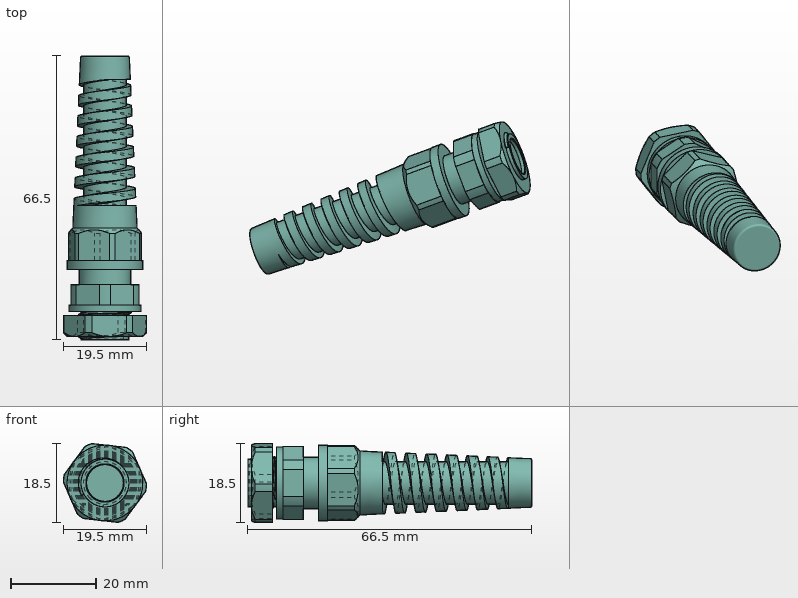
import cadquery as cq
import math


TOTAL_LENGTH = 66.5
NUT_START = 0.8
NUT_END = 5.75
BODY_FLANGE_START = 6.65
BODY_HEX_START = 8.15
BODY_HEX_END = 12.95
DOME_FLANGE_START = 16.5
DOME_HEX_START = 18.6
SLEEVE_START = 26.2
GROOVE_START = 31.5
GROOVE_END = 61.0

THREAD_ROOT_D = 11.2
THREAD_CREST_D = 12.5
THREAD_PITCH = 1.27
THREAD_CREST_WIDTH = 0.15
THREAD_START_ANGLE = 152.0
THREAD_START_HEIGHT = 0.7
BORE_D = 8.6
BORE_DEPTH = 1.0
BORE_CHAMFER = 0.2

NUT_FLATS = 17.7
NUT_CORNER_D = 19.5
NUT_CORNER_ANGLE = 6.45
BODY_FLATS = 16.0
BODY_CORNER_D = 17.2
BODY_CORNER_ANGLE = 30.0
DOME_FLATS = 15.9
DOME_CORNER_D = 17.65
DOME_CORNER_ANGLE = 41.5

BODY_FLANGE_D = 16.9
NECK_D = 12.1
DOME_FLANGE_D = 17.8

SLEEVE_BASE_D = 15.1
SLEEVE_END_D = 11.45
SLEEVE_END_FILLET = 0.5
SLEEVE_CORE_D = 10.0
GROOVE_PITCH = 4.8
GROOVE_ROOT_WIDTH = 2.25
GROOVE_FLANK_ANGLE = 7.0
GROOVE_CENTRE_AT_PLUS_X = 60.9

EMBED = 0.1
CLEARANCE = 1.0


def cylinder(diameter, start, end):
    """Round section of the axis between two stations."""
    return cq.Workplane("XY").workplane(offset=start).circle(diameter / 2).extrude(end - start)


def hexagon(flats, corner_d, corner_angle, start, end):
    """Hexagonal prism whose corners are rounded by a coaxial cylinder."""
    prism = (
        cq.Workplane("XY")
        .workplane(offset=start)
        .polygon(6, flats / math.cos(math.pi / 6))
        .extrude(end - start)
        .rotate((0, 0, 0), (0, 0, 1), corner_angle)
    )
    return prism.intersect(cylinder(corner_d, start, end))


def helical_sweep(profile_points, pitch, radius, start, height, start_angle):
    """Right-handed sweep of a (radius, axial offset) profile around the axis."""
    path = cq.Workplane(obj=cq.Wire.makeHelix(pitch, height, radius))
    sweep = cq.Workplane("XZ").polyline(profile_points).close().sweep(path, isFrenet=True)
    return sweep.rotate((0, 0, 0), (0, 0, 1), start_angle).translate((0, 0, start))


def lock_nut():
    """Hexagonal nut with a 45 degree chamfer around its outer face."""
    nut = hexagon(NUT_FLATS, NUT_CORNER_D, NUT_CORNER_ANGLE, NUT_START, NUT_END)
    chamfer = (NUT_CORNER_D - NUT_FLATS) / 2
    envelope = cylinder(NUT_CORNER_D, NUT_START, NUT_END).faces("<Z").chamfer(chamfer)
    return nut.intersect(envelope)


def thread():
    """V thread from the tip up to the body flange."""
    half_root = THREAD_PITCH / 2 - EMBED
    half_crest = THREAD_CREST_WIDTH / 2
    root = THREAD_ROOT_D / 2 - EMBED
    crest = THREAD_CREST_D / 2
    profile = [(root, -half_root), (crest, -half_crest), (crest, half_crest), (root, half_root)]
    height = BODY_FLANGE_START - THREAD_START_HEIGHT
    return helical_sweep(
        profile, THREAD_PITCH, THREAD_ROOT_D / 2, THREAD_START_HEIGHT, height, THREAD_START_ANGLE
    )


def body():
    """Threaded core, flange, hexagon and neck of the gland body."""
    core = cylinder(THREAD_ROOT_D, 0, BODY_FLANGE_START)
    flange = cylinder(BODY_FLANGE_D, BODY_FLANGE_START, BODY_HEX_START)
    flats = hexagon(BODY_FLATS, BODY_CORNER_D, BODY_CORNER_ANGLE, BODY_HEX_START, BODY_HEX_END)
    neck = cylinder(NECK_D, BODY_HEX_END, DOME_FLANGE_START)
    return core.union(thread()).union(flange).union(flats).union(neck)


def dome_nut():
    """Flanged hexagon, chamfered at 45 degrees down to the sleeve."""
    flange = cylinder(DOME_FLANGE_D, DOME_FLANGE_START, DOME_HEX_START)
    flats = hexagon(DOME_FLATS, DOME_CORNER_D, DOME_CORNER_ANGLE, DOME_HEX_START, SLEEVE_START)
    chamfer = (DOME_CORNER_D - SLEEVE_BASE_D) / 2
    envelope = cylinder(DOME_CORNER_D, DOME_HEX_START, SLEEVE_START).faces(">Z").chamfer(chamfer)
    return flange.union(flats.intersect(envelope))


def spiral_groove():
    """Groove with sloping flanks down to the sleeve core, cut off square at both ends."""
    turns = math.ceil((GROOVE_END - GROOVE_START) / GROOVE_PITCH) + 2
    height = turns * GROOVE_PITCH
    inner = SLEEVE_CORE_D / 2
    outer = SLEEVE_BASE_D / 2 + CLEARANCE
    half_root = GROOVE_ROOT_WIDTH / 2
    half_mouth = half_root + (outer - inner) * math.tan(math.radians(GROOVE_FLANK_ANGLE))
    profile = [(inner, -half_root), (outer, -half_mouth), (outer, half_mouth), (inner, half_root)]
    start = GROOVE_CENTRE_AT_PLUS_X + GROOVE_PITCH - height
    groove = helical_sweep(profile, GROOVE_PITCH, inner, start, height, 0)
    return groove.intersect(cylinder(2 * (outer + CLEARANCE), GROOVE_START, GROOVE_END))


def sleeve():
    """Tapered sleeve with a rounded end and the spiral groove."""
    cone = (
        cq.Workplane("XY")
        .workplane(offset=SLEEVE_START)
        .circle(SLEEVE_BASE_D / 2)
        .workplane(offset=TOTAL_LENGTH - SLEEVE_START)
        .circle(SLEEVE_END_D / 2)
        .loft(ruled=True)
    )
    return cone.faces(">Z").edges().fillet(SLEEVE_END_FILLET).cut(spiral_groove())


def bore():
    """Shallow blind bore in the tip with a small entry chamfer."""
    entry = cq.Workplane("XY").circle(BORE_D / 2 + BORE_CHAMFER).extrude(BORE_CHAMFER, taper=45)
    return cylinder(BORE_D, 0, BORE_DEPTH).union(entry)


upright = body().union(lock_nut()).union(dome_nut()).union(sleeve()).cut(bore())
result = upright.rotate((0, 0, 0), (1, 0, 0), -90)